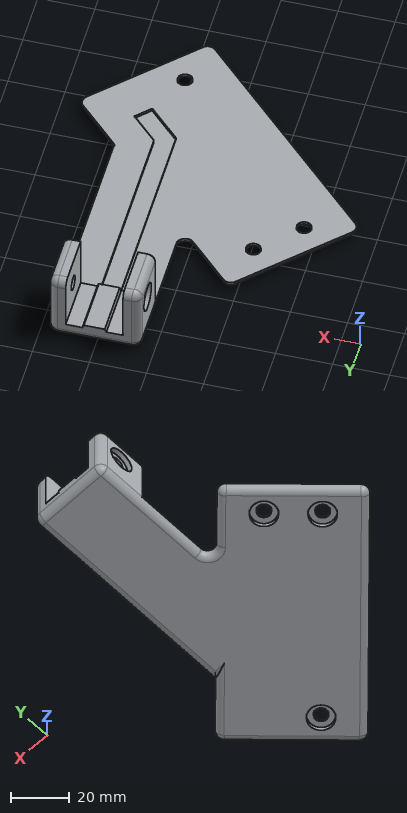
import cadquery as cq
import math

plate_length = 100.2
plate_width = 51.9
plate_thickness = 3.1
plate_angle = -45
corner_radius = 3.1
edge_radius = 3.0

arm_width = 32.1
arm_x = 20.8
arm_end_y = 87.8
arm_left_x = arm_x - arm_width / 2

total_height = 26.1
fork_length = 20.0
fork_wall = 6.0
fork_floor_z = plate_thickness + 2.5
fork_gap = arm_width - 2 * fork_wall
fork_start_y = arm_end_y - fork_length

bead_height = 1.3
bead_bottom_width = 8.4
bead_top_width = 7.3

hole_diameter = 5.2
hole_u = 40.0
hole_v = 10.0
pivot_y = arm_end_y - fork_length / 2
pivot_z = plate_thickness + 12.8
counterbore_diameter = 10.0
counterbore_depth = 2.0

channel_width = 7.0
channel_depth = 1.0
channel_end_u = 34.0


def plate_point(u, v):
    """XY position of a point given along the plate's length (u) and width (v)."""
    angle = math.radians(plate_angle)
    x = u * math.cos(angle) - v * math.sin(angle)
    y = u * math.sin(angle) + v * math.cos(angle)
    return x, y


def block(x_start, y_start, z_start, x_size, y_size, z_size):
    corner = (x_start, y_start, z_start)
    return cq.Workplane("XY").box(x_size, y_size, z_size, centered=False).translate(corner)


def make_body():
    """Plate, arm and solid fork block with all outer edges rounded."""
    plate = (
        cq.Workplane("XY")
        .rect(plate_length, plate_width)
        .extrude(plate_thickness)
        .edges("|Z")
        .fillet(corner_radius)
        .rotate((0, 0, 0), (0, 0, 1), plate_angle)
    )
    arm = block(arm_left_x, 0, 0, arm_width, arm_end_y, plate_thickness)
    fork = block(arm_left_x, fork_start_y, 0, arm_width, fork_length, total_height)
    body = plate.union(arm).union(fork)

    inside_corner_y = math.sqrt(2) * plate_width / 2 - arm_left_x
    inside_corner = (arm_left_x, inside_corner_y, plate_thickness / 2)
    body = body.edges(cq.selectors.NearestToPointSelector(inside_corner)).fillet(corner_radius)

    body = body.faces(">Y").edges("|Z").fillet(corner_radius)
    body = body.faces("<Z").edges().fillet(edge_radius)
    return body.faces(">Z").edges("not <Y").fillet(edge_radius)


def fork_slot():
    """Gap between the fork walls, less the bead left on its floor."""
    gap = block(
        arm_x - fork_gap / 2, fork_start_y, fork_floor_z,
        fork_gap, fork_length, total_height,
    )
    bead_top_z = fork_floor_z + bead_height
    bead = (
        cq.Workplane("XZ", origin=(0, arm_end_y, 0))
        .polyline([
            (arm_x - bead_bottom_width / 2, fork_floor_z),
            (arm_x + bead_bottom_width / 2, fork_floor_z),
            (arm_x + bead_top_width / 2, bead_top_z),
            (arm_x - bead_top_width / 2, bead_top_z),
        ])
        .close()
        .extrude(fork_length)
    )
    return gap.cut(bead)


def pivot_hole():
    """Hole through both fork walls, counterbored on the outer left side."""
    left_side = cq.Workplane("YZ", origin=(arm_left_x, pivot_y, pivot_z))
    hole = left_side.circle(hole_diameter / 2).extrude(arm_width)
    counterbore = left_side.circle(counterbore_diameter / 2).extrude(counterbore_depth)
    return hole.union(counterbore)


def plate_holes():
    """Three holes through the plate, counterbored from its underside."""
    centres = [
        plate_point(-hole_u, hole_v),
        plate_point(-hole_u, -hole_v),
        plate_point(hole_u, -hole_v),
    ]
    underside = cq.Workplane("XY").pushPoints(centres)
    holes = underside.circle(hole_diameter / 2).extrude(plate_thickness)
    counterbores = underside.circle(counterbore_diameter / 2).extrude(counterbore_depth)
    return holes.union(counterbores)


def channel_wall(side):
    """Start, bend and end of one channel wall; side is -1 for left and 1 for right."""
    offset = side * channel_width / 2
    x = arm_x + offset
    v = hole_v + offset
    bend_y = math.sqrt(2) * v - x
    return [(x, fork_start_y), (x, bend_y), plate_point(channel_end_u, v)]


def channel():
    """Shallow channel from the fork, bending to run along the plate."""
    outline = channel_wall(-1) + channel_wall(1)[::-1]
    floor_z = plate_thickness - channel_depth
    return cq.Workplane("XY").workplane(offset=floor_z).polyline(outline).close().extrude(channel_depth)


result = make_body().cut(fork_slot()).cut(pivot_hole()).cut(plate_holes()).cut(channel())